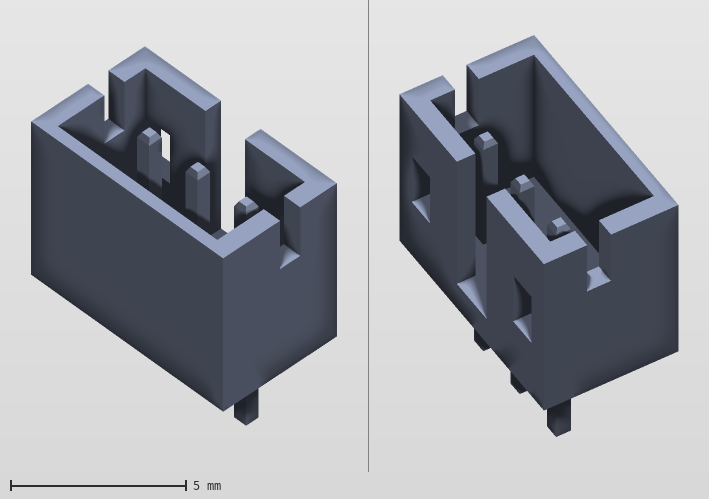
import cadquery as cq

length = 7.9
depth = 4.5
total_height = 9.4
body_height = 6.02
pin_count = 3
pin_pitch = 1.99
pin_width = 0.5
pin_tip_width = 0.3
pin_taper_height = 0.2
pin_top_drop = 0.93
pin_to_rear = 1.7
end_wall = 0.67
rear_wall = 0.62
front_wall = 0.41
floor_thickness = 1.0
end_slot_width = 0.8
end_slot_depth = 1.9
end_slot_to_rear = 1.45
rear_notch_width = 1.63
window_width = 1.015
window_bottom = 2.18
window_top = 4.07

rear_y = depth / 2
pin_y = rear_y - pin_to_rear
pin_bottom = body_height - total_height
pin_shoulder = body_height - pin_top_drop - pin_taper_height


def box(size_x, size_y, size_z, center_x, center_y, bottom_z):
    """Block centred in X and Y, standing on bottom_z."""
    block = cq.Workplane("XY").box(size_x, size_y, size_z, centered=(True, True, False))
    return block.translate((center_x, center_y, bottom_z))


def make_housing():
    """Open-topped shroud with end slots and a rear notch down to its floor."""
    cavity_height = body_height - floor_thickness
    cavity_y = (front_wall - rear_wall) / 2
    end_slot_y = rear_y - end_slot_to_rear - end_slot_width / 2
    housing = box(length, depth, body_height, 0, 0, 0)
    cavity = box(length - 2 * end_wall, depth - front_wall - rear_wall, cavity_height,
                 0, cavity_y, floor_thickness)
    end_slots = box(length, end_slot_width, end_slot_depth,
                    0, end_slot_y, body_height - end_slot_depth)
    rear_notch = box(rear_notch_width, rear_wall, cavity_height,
                     0, rear_y - rear_wall / 2, floor_thickness)
    return housing.cut(cavity).cut(end_slots).cut(rear_notch)


def make_window(side):
    """Cutter for a rear wall window; side is -1 or +1 along X."""
    window_x = length / 2 - end_wall - window_width / 2
    return box(window_width, rear_wall, window_top - window_bottom,
               side * window_x, rear_y - rear_wall / 2, window_bottom)


def make_pin(x):
    """Square pin through the floor with a tapered top."""
    shank = box(pin_width, pin_width, pin_shoulder - pin_bottom, x, pin_y, pin_bottom)
    tip = (
        cq.Workplane("XY", origin=(x, pin_y, pin_shoulder))
        .rect(pin_width, pin_width)
        .workplane(offset=pin_taper_height)
        .rect(pin_tip_width, pin_tip_width)
        .loft(ruled=True)
    )
    return shank.union(tip)


result = make_housing()
for side in (-1, 1):
    result = result.cut(make_window(side))
for index in range(pin_count):
    result = result.union(make_pin((index - (pin_count - 1) / 2) * pin_pitch))